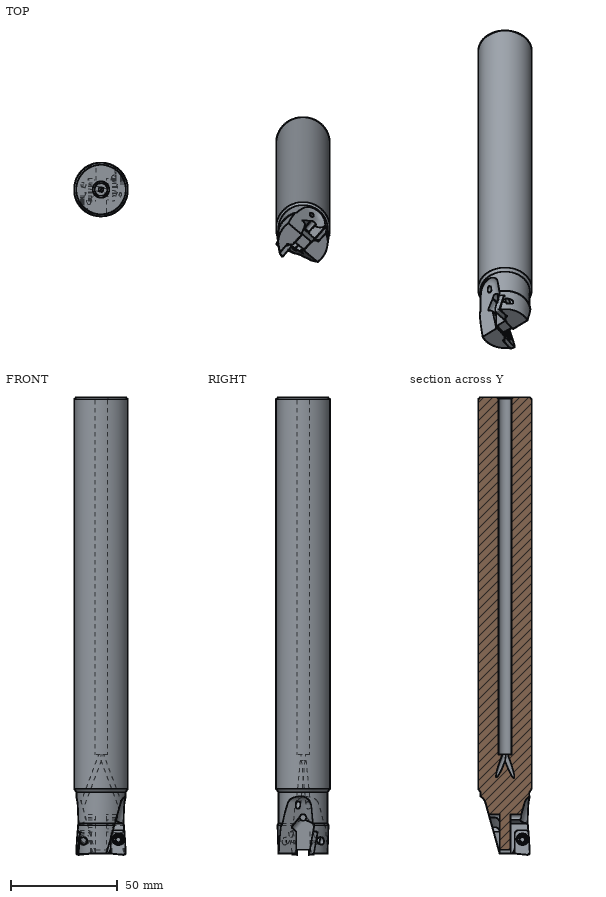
import cadquery as cq
import math

TOTAL_LENGTH = 214.6
SHANK_RADIUS = 12.7
NECK_RADIUS = 11.5
HEAD_TIP_RADIUS = NECK_RADIUS
HEAD_RADIUS = 12.0
END_FACE_Z = 0.6
HEAD_SHOULDER_Z = 14.0
HEAD_SHOULDER_HEIGHT = 0.9
NECK_TOP_Z = 29.5
SHANK_BOTTOM_Z = 31.1
SHANK_TOP_CHAMFER = 1.0

BORE_RADIUS = 3.0
BORE_MOUTH_RADIUS = 3.9
BORE_BOTTOM_Z = 47.2
BRANCH_RADIUS = 1.0
BRANCH_EXIT = cq.Vector(-9.0, 2.4, 23.2)
BRANCH_OVERRUN = 4.3

FLOOR_OFFSET = 2.4
FLOOR_SLOPE = 0.28
FLUTE_TOP_Z = 29.2
FLUTE_END_RADIUS = 5.8
FLUTE_WALL_Y = -4.7
FLUTE_FILLET = 4.7

FACE_Y = -2.8
AXIAL_RAKE = 10.0
INSERT_INNER = 4.5
INSERT_OUTER = 11.5
INSERT_EDGE_RISE = 0.6
INSERT_HEIGHT = 11.8
INSERT_THICKNESS = 2.1
INSERT_RELIEF = 15.0
INSERT_NOSE = 1.0
INSERT_TOP_CORNER = 2.0
SEAT_TOP_Z = 14.5

SCREW_FROM_AXIS = 8.2
SCREW_HEIGHT = 7.5
SCREW_RADIUS = 1.7
SCREW_LENGTH = 3.9
HEAD_MOUTH_RADIUS = 2.8
HEAD_SEAT_RADIUS = 2.1
HEAD_SINK = 0.6
SOCKET_RADIUS = 1.3
SOCKET_DEPTH = 1.5

POCKET_FLOOR = 2.5
POCKET_SIDE_Y = 3.2
POCKET_BEND_Z = 11.0
POCKET_CORNER = (5.4, 13.0)
POCKET_TOP = (1.7, 17.5)
POCKET_FILLET = 2.5
RELIEF_CENTRE = (0.0, 17.5)
RELIEF_RADIUS = 1.5

END_SLOT_TOP_Z = 2.4
CLEAR = 2 * SHANK_RADIUS
HALF_TURN = 180.0


def both_sides(shape):
    """The shape and its copy half a turn round the axis."""
    return [shape.rotate((0, 0, 0), (0, 0, 1), turn) for turn in (0.0, HALF_TURN)]


def face_plane():
    """Cutting face: local X points away from the axis, local Y up, the normal out of the face."""
    rake = math.radians(AXIAL_RAKE)
    normal = (0, math.cos(rake), math.sin(rake))
    return cq.Plane(origin=(0, FACE_Y, 0), xDir=(-1, 0, 0), normal=normal)


def turned_blank():
    profile = [
        (0, END_FACE_Z),
        (HEAD_TIP_RADIUS, END_FACE_Z),
        (HEAD_RADIUS, HEAD_SHOULDER_Z),
        (NECK_RADIUS, HEAD_SHOULDER_Z + HEAD_SHOULDER_HEIGHT),
        (NECK_RADIUS, NECK_TOP_Z),
        (SHANK_RADIUS, SHANK_BOTTOM_Z),
        (SHANK_RADIUS, TOTAL_LENGTH - SHANK_TOP_CHAMFER),
        (SHANK_RADIUS - SHANK_TOP_CHAMFER, TOTAL_LENGTH),
        (0, TOTAL_LENGTH),
    ]
    return cq.Workplane("XZ").polyline(profile).close().revolve(360, (0, 0, 0), (0, 1, 0))


def coolant_bore():
    mouth_depth = BORE_MOUTH_RADIUS - BORE_RADIUS
    profile = [
        (0, BORE_BOTTOM_Z),
        (BORE_RADIUS, BORE_BOTTOM_Z),
        (BORE_RADIUS, TOTAL_LENGTH - mouth_depth),
        (BORE_MOUTH_RADIUS, TOTAL_LENGTH),
        (0, TOTAL_LENGTH),
    ]
    return cq.Workplane("XZ").polyline(profile).close().revolve(360, (0, 0, 0), (0, 1, 0))


def coolant_branch():
    start = cq.Vector(0, 0, BORE_BOTTOM_Z)
    run = BRANCH_EXIT - start
    length = run.Length + BRANCH_OVERRUN
    return cq.Workplane(cq.Solid.makeCylinder(BRANCH_RADIUS, length, start, run))


def flute():
    """Cutter body standing on the sloping floor, open towards +Y and downwards."""
    stretch = math.hypot(1, FLOOR_SLOPE)
    floor = cq.Plane(
        origin=(-FLOOR_OFFSET, 0, 0),
        xDir=(0, -1, 0),
        normal=(-1, 0, -FLOOR_SLOPE),
    )
    wall = -FLUTE_WALL_Y
    round_centre = wall - FLUTE_END_RADIUS
    top = FLUTE_TOP_Z * stretch
    far = -CLEAR
    return (
        cq.Workplane(floor)
        .moveTo(far, far)
        .lineTo(wall, far)
        .lineTo(wall, top - FLUTE_END_RADIUS)
        .radiusArc((round_centre, top), -FLUTE_END_RADIUS)
        .lineTo(far, top)
        .close()
        .extrude(CLEAR)
        .faces(cq.selectors.DirectionMinMaxSelector(floor.zDir, False))
        .edges()
        .fillet(FLUTE_FILLET)
    )


def insert_blank():
    """Insert with a plain face, narrowing backwards and trimmed to the head."""
    inner, outer, top = INSERT_INNER, INSERT_OUTER, INSERT_HEIGHT
    nose, corner = INSERT_NOSE, INSERT_TOP_CORNER
    body = (
        cq.Workplane(face_plane())
        .moveTo(inner, INSERT_EDGE_RISE)
        .lineTo(outer - nose, 0)
        .radiusArc((outer, nose), -nose)
        .lineTo(outer, top - corner)
        .radiusArc((outer - corner, top), -corner)
        .lineTo(inner + corner, top)
        .radiusArc((inner, top - corner), -corner)
        .close()
        .extrude(-INSERT_THICKNESS, taper=INSERT_RELIEF)
    )
    return body.intersect(cq.Workplane("XY").circle(HEAD_RADIUS).extrude(SEAT_TOP_Z))


def screw_cylinder(radius, length):
    """Round bar on the screw axis, running back from the cutting face."""
    return (
        cq.Workplane(face_plane())
        .center(SCREW_FROM_AXIS, SCREW_HEIGHT)
        .circle(radius)
        .extrude(-length)
    )


def screw_head_recess():
    return (
        cq.Workplane(face_plane())
        .center(SCREW_FROM_AXIS, SCREW_HEIGHT)
        .circle(HEAD_MOUTH_RADIUS)
        .workplane(offset=-HEAD_SINK)
        .circle(HEAD_SEAT_RADIUS)
        .loft()
    )


def floor_pocket():
    """Pocket between the tooth face and the flute floor, with a slanting upper end."""
    lean = math.tan(math.radians(AXIAL_RAKE))
    slant_middle = (
        -POCKET_FLOOR,
        (POCKET_CORNER[0] + POCKET_TOP[0]) / 2,
        (POCKET_CORNER[1] + POCKET_TOP[1]) / 2,
    )
    return (
        cq.Workplane("YZ", origin=(-POCKET_FLOOR, 0, 0))
        .moveTo(FACE_Y, 0)
        .lineTo(POCKET_SIDE_Y, 0)
        .lineTo(POCKET_SIDE_Y, POCKET_BEND_Z)
        .lineTo(*POCKET_CORNER)
        .lineTo(*POCKET_TOP)
        .lineTo(FACE_Y - lean * SEAT_TOP_Z, SEAT_TOP_Z)
        .close()
        .extrude(-CLEAR)
        .edges(cq.selectors.NearestToPointSelector(slant_middle))
        .fillet(POCKET_FILLET)
    )


def corner_relief():
    return (
        cq.Workplane("YZ", origin=(-POCKET_FLOOR, 0, 0))
        .center(*RELIEF_CENTRE)
        .circle(RELIEF_RADIUS)
        .extrude(-CLEAR)
    )


def end_slot():
    """Relief across the end face, between the two cutting faces."""
    return (
        cq.Workplane("XY")
        .rect(2 * CLEAR, -2 * FACE_Y)
        .extrude(END_SLOT_TOP_Z)
    )


def make_holder():
    holder = turned_blank().cut(coolant_bore()).cut(end_slot())
    cutters = [
        flute(),
        floor_pocket(),
        corner_relief(),
        coolant_branch(),
        insert_blank(),
        screw_cylinder(SCREW_RADIUS, CLEAR),
    ]
    for cutter in cutters:
        for copy in both_sides(cutter):
            holder = holder.cut(copy)
    return holder


def make_insert():
    """Insert with its clamping screw, whose end stops inside the tooth."""
    clamped = insert_blank().union(screw_cylinder(SCREW_RADIUS, SCREW_LENGTH))
    return clamped.cut(screw_head_recess()).cut(screw_cylinder(SOCKET_RADIUS, SOCKET_DEPTH))


holder = make_holder()
inserts = both_sides(make_insert())

result = cq.Compound.makeCompound(
    [holder.solids().val(), *[insert.solids().val() for insert in inserts]]
)